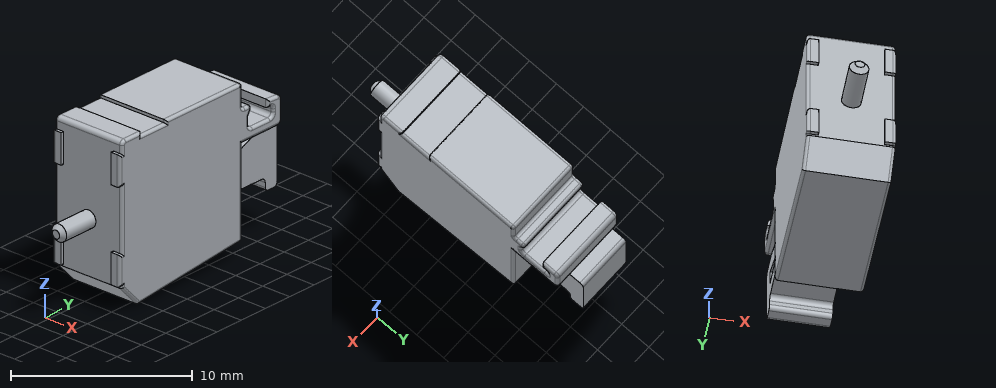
import cadquery as cq


width = 5.0
rim_radius = 0.19
top_z = 5.55
rear_y = 9.91
bottom_z = -4.94
rear_bottom_z = -4.13
bevel_y = 1.35
bevel_top_z = -3.5
front_top_radius = 0.3
rear_top_radius = 0.2

notch_depth = 0.2
notch_front_y = 1.6
notch_rear_y = 3.6

foot_height = 0.2
foot_width = 0.65
foot_length = 2.0
foot_bottoms_z = (-3.37, 2.75)

clip_bottom_z = 1.86
clip_floor_z = 2.55
clip_rear_y = 13.18
clip_outer_radius = 0.3
channel_front_y = 10.45
channel_rear_y = 12.46
channel_radius = 0.28
hook_tip_y = 12.01
hook_under_z = 3.24
hook_tip_z = 3.77
hook_rear_z = 3.69
hook_inner_radius = 0.22
lip_tip_y = 10.65
lip_top_z = 3.96
lip_under_z = 3.66
lip_root_z = 3.33
lip_radius = 0.17
lip_root_radius = 0.2

lever_left_x = -2.2
lever_right_x = 1.35
lever_rear_y = 14.05
lever_top_z = 1.475
lever_slope_start_y = 12.81
lever_root_top_z = 0.25
lever_bottom_z = -1.75
lever_toe_front_y = 13.07
lever_toe_z = -2.61
lever_corner_radius = 0.25
lever_inner_radius = 0.3
window_rear_y = 12.92
window_front_y = 10.64
window_bottom_z = -0.65
window_depth = 1.0

pin_radius = 0.55
pin_length = 2.68
pin_tip_length = 0.27
pin_tip_radius = 0.27

corner_reach = 0.01


def side_profile(x, points):
    """Closed polygon of (Y, Z) points on the plane at the given X."""
    return cq.Workplane("YZ", origin=(x, 0, 0)).polyline(points).close()


def round_corners(solid, corners):
    """Round the X-parallel edges that pass through (Y, Z, radius) corners."""
    for y, z, radius in corners:
        near = cq.selectors.BoxSelector(
            (-width, y - corner_reach, z - corner_reach), (width, y + corner_reach, z + corner_reach)
        )
        solid = solid.edges("|X").edges(near).fillet(radius)
    return solid


def front_outline():
    """Front edge from top to bottom, stepping out around each foot."""
    points = []
    for foot_bottom in reversed(foot_bottoms_z):
        foot_top = foot_bottom + foot_length
        points += [(0, foot_top), (-foot_height, foot_top), (-foot_height, foot_bottom), (0, foot_bottom)]
    return points


def make_housing_block():
    notch_z = top_z - notch_depth
    outline = [
        (0, bevel_top_z), (bevel_y, bottom_z), (rear_y, rear_bottom_z),
        (rear_y, clip_bottom_z), (clip_rear_y, clip_bottom_z), (clip_rear_y, hook_rear_z),
        (hook_tip_y, hook_tip_z), (hook_tip_y, hook_under_z), (channel_rear_y, hook_under_z),
        (channel_rear_y, clip_floor_z), (channel_front_y, clip_floor_z), (channel_front_y, lip_root_z),
        (lip_tip_y, lip_under_z), (lip_tip_y, lip_top_z), (rear_y, lip_top_z), (rear_y, top_z),
        (notch_rear_y, top_z), (notch_rear_y, notch_z), (notch_front_y, notch_z), (notch_front_y, top_z),
        (0, top_z),
    ] + front_outline()
    block = side_profile(-width / 2, outline).extrude(width)
    block = round_corners(block, [
        (0, top_z, front_top_radius),
        (rear_y, top_z, rear_top_radius),
        (rear_y, lip_top_z, lip_root_radius),
        (lip_tip_y, lip_top_z, lip_radius),
        (channel_front_y, clip_floor_z, channel_radius),
        (channel_rear_y, clip_floor_z, channel_radius),
        (channel_rear_y, hook_under_z, hook_inner_radius),
        (clip_rear_y, hook_rear_z, clip_outer_radius),
        (clip_rear_y, clip_bottom_z, clip_outer_radius),
    ])
    return block.faces("<X or >X").edges().fillet(rim_radius)


def make_foot_gap():
    """Space between the left and right feet, in front of the front wall."""
    gap = cq.Workplane("XY").box(
        width - 2 * foot_width, foot_height, top_z - bottom_z, centered=(True, False, False)
    )
    return gap.translate((0, -foot_height, bottom_z))


def make_lever():
    outline = [
        (rear_y, lever_bottom_z), (lever_toe_front_y, lever_bottom_z), (lever_toe_front_y, lever_toe_z),
        (lever_rear_y, lever_toe_z), (lever_rear_y, lever_top_z),
        (lever_slope_start_y, lever_top_z), (rear_y, lever_root_top_z),
    ]
    lever = side_profile(lever_left_x, outline).extrude(lever_right_x - lever_left_x)
    return round_corners(lever, [
        (lever_toe_front_y, lever_bottom_z, lever_inner_radius),
        (lever_toe_front_y, lever_toe_z, lever_corner_radius),
        (lever_rear_y, lever_toe_z, lever_corner_radius),
        (lever_rear_y, lever_top_z, lever_corner_radius),
    ])


def make_lever_window():
    """Triangular pocket whose upper side runs parallel to the lever's slope."""
    slope = (lever_top_z - lever_root_top_z) / (lever_slope_start_y - rear_y)
    window_top_z = window_bottom_z + slope * (window_rear_y - window_front_y)
    corners = [
        (window_front_y, window_bottom_z),
        (window_rear_y, window_bottom_z),
        (window_rear_y, window_top_z),
    ]
    return side_profile(lever_left_x, corners).extrude(window_depth)


def make_pin():
    """Round pin with a conical tip, standing on the front wall."""
    half_section = [
        (0, 0), (0, pin_radius), (pin_tip_length - pin_length, pin_radius),
        (-pin_length, pin_tip_radius), (-pin_length, 0),
    ]
    return side_profile(0, half_section).revolve(360, (0, 0, 0), (1, 0, 0))


housing = make_housing_block().cut(make_foot_gap())
housing = housing.union(make_lever()).cut(make_lever_window())
pin = make_pin()

result = cq.Compound.makeCompound([housing.val(), pin.val()])